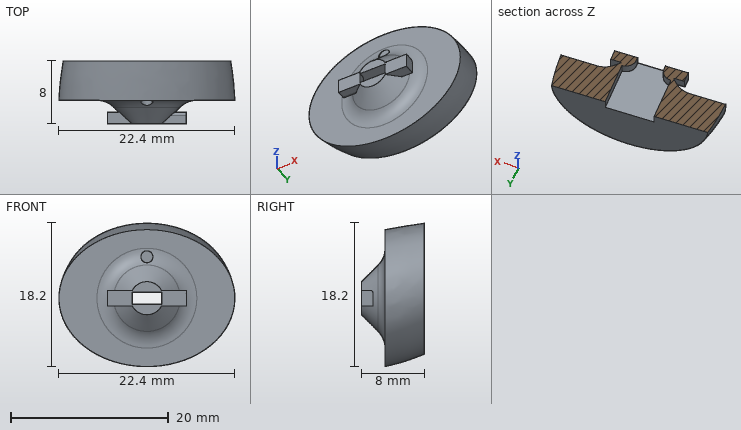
import cadquery as cq
import math

body_depth = 5.0
front_section = (0, 11.18, 8.7, 0)
middle_section = (body_depth / 2, 10.995, 8.6, 0.55)
back_section = (body_depth, 10.65, 8.32, 1.2)

hub_height = 3.0
hub_tip_radius = 2.1
flare_radius = 3.0
cone_angle = math.radians(45)

bar_length = 10.02
bar_width = 2.01
bar_thickness = 1.5
bar_round = 0.4

slot_length = 3.71
slot_height = 1.48
slot_mouth_depth = 0.5
slot_flare_radius = 1.43

recess_radius = 0.75
recess_height = 5.25


def section_wire(y, half_width, half_height, centre_z):
    return cq.Wire.makeEllipse(
        half_width,
        half_height,
        center=cq.Vector(0, y, centre_z),
        normal=cq.Vector(0, 1, 0),
        xDir=cq.Vector(1, 0, 0),
    )


def make_body():
    sections = (front_section, middle_section, back_section)
    wires = [section_wire(*section) for section in sections]
    return cq.Workplane(cq.Solid.makeLoft(wires))


def make_hub():
    flare_rise = flare_radius * (1 - math.cos(cone_angle))
    cone_foot_radius = hub_tip_radius + (hub_height - flare_rise) * math.tan(cone_angle)
    rim_radius = cone_foot_radius + flare_radius * math.sin(cone_angle)
    half_angle = cone_angle / 2
    flare_middle = (
        rim_radius - flare_radius * math.sin(half_angle),
        -flare_radius * (1 - math.cos(half_angle)),
    )
    return (
        cq.Workplane("XY")
        .moveTo(0, body_depth / 2)
        .lineTo(0, -hub_height)
        .lineTo(hub_tip_radius, -hub_height)
        .lineTo(cone_foot_radius, -flare_rise)
        .threePointArc(flare_middle, (rim_radius, 0))
        .lineTo(rim_radius, body_depth / 2)
        .close()
        .revolve(360, (0, 0, 0), (0, 1, 0))
    )


def make_bar():
    arms = cq.Workplane("XY")
    for side in (-1, 1):
        arm = (
            cq.Workplane("XY")
            .box(bar_length / 2, bar_thickness, bar_width)
            .edges("|X and >Y")
            .edges(">Z" if side > 0 else "<Z")
            .fillet(bar_round)
            .translate((side * bar_length / 4, bar_thickness / 2 - hub_height, 0))
        )
        arms = arms.add(arm)
    return arms.combine()


def make_slot():
    half_mouth = slot_length / 2
    half_wide = half_mouth + slot_flare_radius
    flare_start = slot_mouth_depth - hub_height
    flare_end = flare_start + slot_flare_radius
    return (
        cq.Workplane("XY")
        .moveTo(-half_mouth, -hub_height)
        .lineTo(half_mouth, -hub_height)
        .lineTo(half_mouth, flare_start)
        .radiusArc((half_wide, flare_end), slot_flare_radius)
        .lineTo(half_wide, body_depth)
        .lineTo(-half_wide, body_depth)
        .lineTo(-half_wide, flare_end)
        .radiusArc((-half_mouth, flare_start), slot_flare_radius)
        .close()
        .extrude(slot_height / 2, both=True)
    )


def make_recess():
    return (
        cq.Workplane("XZ")
        .center(0, recess_height)
        .circle(recess_radius)
        .extrude(hub_height)
    )


result = make_body().union(make_hub()).union(make_bar()).cut(make_slot()).cut(make_recess())